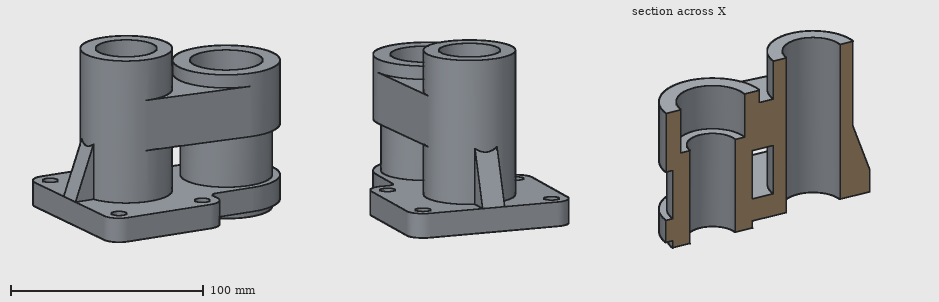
import cadquery as cq
import math

overall_length = 122.0

plate_width = 90.0
corner_radius = 9.0
plate_bottom = 4.0
plate_thickness = 13.0
plate_top = plate_bottom + plate_thickness
tongue_fillet = 4.0
bolt_hole_diameter = 8.0

front_diameter = 48.0
front_bore = 32.0
front_top = 94.0

rear_y = 60.0
stem_diameter = 48.0
head_diameter = 56.0
head_bottom = 44.8
head_top = 79.0
rear_bore = 27.0
counterbore_diameter = 38.0
counterbore_depth = 25.0

plate_half_depth = overall_length - rear_y - head_diameter / 2

web_top = 72.0

rib_width = 12.3
rib_height = 29.8


def cylinder(y, diameter, bottom, top):
    """Vertical cylinder centred on x = 0."""
    return (
        cq.Workplane("XY", origin=(0, y, bottom))
        .circle(diameter / 2)
        .extrude(top - bottom)
    )


def make_plate():
    """Rounded plate, rear tongue and the fillets between them."""
    plate = (
        cq.Workplane("XY", origin=(0, 0, plate_bottom))
        .rect(plate_width, 2 * plate_half_depth)
        .extrude(plate_thickness)
        .edges("|Z")
        .fillet(corner_radius)
    )
    tongue = (
        cq.Workplane("XY", origin=(0, rear_y / 2, plate_bottom))
        .rect(head_diameter, rear_y)
        .extrude(plate_thickness)
    )
    tongue_end = cylinder(rear_y, head_diameter, plate_bottom, plate_top)
    margin = 1.2
    inner_corners = cq.selectors.BoxSelector(
        (-head_diameter / 2 - margin, plate_half_depth - margin, 0),
        (head_diameter / 2 + margin, plate_half_depth + margin, plate_top),
    )
    return plate.union(tongue).union(tongue_end).edges("|Z").edges(inner_corners).fillet(tongue_fillet)


def make_web():
    """Web whose sides are tangent to the front tower and the rear head."""
    front_radius = front_diameter / 2
    head_radius = head_diameter / 2
    sine = (head_radius - front_radius) / rear_y
    cosine = math.sqrt(1 - sine**2)
    front_x = front_radius * cosine
    front_y = -front_radius * sine
    head_x = head_radius * cosine
    head_y = rear_y - head_radius * sine
    return (
        cq.Workplane("XY", origin=(0, 0, head_bottom))
        .polyline([(-front_x, front_y), (front_x, front_y), (head_x, head_y), (-head_x, head_y)])
        .close()
        .extrude(web_top - head_bottom)
    )


def make_rib():
    """Triangular rib whose top corners lie on the front tower's surface."""
    contact_y = -math.sqrt((front_diameter / 2) ** 2 - (rib_width / 2) ** 2)
    return (
        cq.Workplane("YZ", origin=(-rib_width / 2, 0, 0))
        .moveTo(-plate_half_depth, plate_top)
        .lineTo(contact_y, plate_top + rib_height)
        .lineTo(0, plate_top + rib_height)
        .lineTo(0, plate_top)
        .close()
        .extrude(rib_width)
    )


body = (
    make_plate()
    .union(cylinder(0, front_diameter, plate_bottom, front_top))
    .union(cylinder(rear_y, stem_diameter, 0, head_bottom))
    .union(cylinder(rear_y, head_diameter, head_bottom, head_top))
    .union(make_web())
    .union(make_rib())
)

bolt_holes = (
    cq.Workplane("XY")
    .rect(plate_width - 2 * corner_radius, 2 * (plate_half_depth - corner_radius), forConstruction=True)
    .vertices()
    .circle(bolt_hole_diameter / 2)
    .extrude(plate_top)
)

result = (
    body.cut(bolt_holes)
    .cut(cylinder(0, front_bore, 0, front_top))
    .cut(cylinder(rear_y, rear_bore, 0, head_top))
    .cut(cylinder(rear_y, counterbore_diameter, head_top - counterbore_depth, head_top))
)